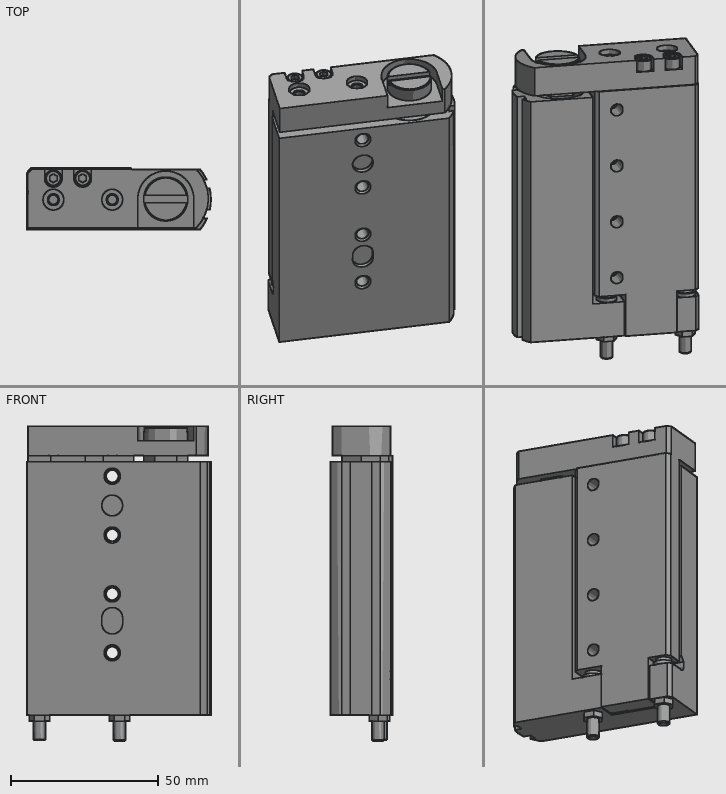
import cadquery as cq


housing_width = 62.5
housing_depth = 20.4
housing_height = 86.0
flat_end_x = 58.7
axis_y = 10.4
edge_chamfer = 1.3

bay_floor_y = 12.4
bay_right_x = 37.2
block_top_z = 12.2

table_left_x = 0.3
table_right_x = 36.3
table_front_y = 13.0
table_back_y = 21.0
table_bottom_z = 14.8
tongue_left_x = 8.1
tongue_right_x = 25.8
tongue_clearance = 0.3

plate_bottom_z = 88.0
plate_top_z = 98.0
plate_front_y = 0.6
plate_right_x = 61.5
plate_flat_end_x = 57.5
screw_sink = 0.3
left_bolt_x = 9.0

hole_x = 28.9
hole_pitch = 20.0
lowest_hole_z = 21.1
hole_zs = [lowest_hole_z + i * hole_pitch for i in range(4)]
hole_diameter = 4.2
countersink_diameter = 5.5

float_x = 47.1
float_diameter = 15.0

stoppers = [(4.3, 17.1, 8.5), (31.4, 16.1, 8.8)]


def box(x0, x1, y0, y1, z0, z1):
    """A box given by its limits along each axis."""
    return cq.Workplane("XY").box(x1 - x0, y1 - y0, z1 - z0, centered=False).translate((x0, y0, z0))


def cylinder(x, y, z0, z1, diameter):
    """An upright cylinder."""
    return cq.Workplane("XY", origin=(x, y, z0)).circle(diameter / 2).extrude(z1 - z0)


def chamfer_cone(mouth, inward, mouth_diameter, bore_diameter):
    """A cutter for a 45-degree chamfer from a hole's mouth, a point, inward along a direction."""
    depth = (mouth_diameter - bore_diameter) / 2
    cone = cq.Solid.makeCone(
        mouth_diameter / 2,
        bore_diameter / 2,
        depth,
        pnt=cq.Vector(*mouth),
        dir=cq.Vector(*inward),
    )
    return cq.Workplane(cone)


def hex_prism(x, y, z0, z1, corner_diameter, turn=0):
    """An upright hexagonal prism with corners on the X direction, turned about its axis by degrees."""
    prism = cq.Workplane("XY").polygon(6, corner_diameter).extrude(z1 - z0)
    return prism.rotate((0, 0, 0), (0, 0, 1), turn).translate((x, y, z0))


def curved_slab(left_x, right_x, arc_end_x, front_y, back_y, z0, z1):
    """A slab whose right side bulges as an arc and whose left back edge is chamfered."""
    return (
        cq.Workplane("XY", origin=(0, 0, z0))
        .moveTo(left_x, front_y)
        .lineTo(arc_end_x, front_y)
        .threePointArc((right_x, (front_y + back_y) / 2), (arc_end_x, back_y))
        .lineTo(left_x + edge_chamfer, back_y)
        .lineTo(left_x, back_y - edge_chamfer)
        .close()
        .extrude(z1 - z0)
    )


def cut_mounting_holes(body):
    """The holes that run through both bodies, countersunk at the housing's front face."""
    for z in hole_zs:
        bore = (
            cq.Workplane("XZ", origin=(hole_x, 0, z))
            .circle(hole_diameter / 2)
            .extrude(-table_back_y)
        )
        countersink = chamfer_cone((hole_x, 0, z), (0, 1, 0), countersink_diameter, hole_diameter)
        body = body.cut(bore).cut(countersink)
    return body



def cut_sensor_grooves(body):
    """Two grooves along the curved side, one on either side of the sensor rail."""
    rail_half_width = 3.6
    groove_width = 2.9
    groove_floor_x = 59.6
    for y0 in (axis_y + rail_half_width, axis_y - rail_half_width - groove_width):
        body = body.cut(box(groove_floor_x, housing_width, y0, y0 + groove_width, 0, housing_height))
    return body


def cut_bay(body):
    """The bay for the table, its channel through the block, and the relief in its lower corner."""
    relief_floor_y = axis_y
    relief_top_z = 15.6
    relief_radius = 1.6
    lead_in = 1.5
    bay = box(0, bay_right_x, bay_floor_y, housing_depth, block_top_z, housing_height)
    channel = box(
        tongue_left_x - tongue_clearance,
        tongue_right_x + tongue_clearance,
        bay_floor_y,
        housing_depth,
        0,
        block_top_z,
    )
    relief = (
        box(0, bay_right_x, relief_floor_y, bay_floor_y + relief_radius, block_top_z, relief_top_z)
        .edges("|X and <Y and <Z")
        .fillet(relief_radius)
    )
    corner_chamfer = (
        cq.Workplane("YZ")
        .moveTo(relief_floor_y, relief_top_z)
        .lineTo(bay_floor_y, relief_top_z)
        .lineTo(bay_floor_y, relief_top_z + lead_in)
        .lineTo(relief_floor_y + lead_in, relief_top_z + lead_in)
        .close()
        .extrude(tongue_left_x)
    )
    return body.cut(bay).cut(channel).cut(relief).cut(corner_chamfer)


def add_guide_pads(body):
    """Low pads on the bay floor: a guide strip, and a pad around half of the top mounting hole."""
    pad_height = 0.5
    pad_back_y = bay_floor_y + pad_height
    strip_top_z = 72.1
    pad_bore_diameter = 8.0
    strip_left_x = 9.6
    strip_right_x = 24.6
    strip_bottom_z = 17.1
    strip = box(strip_left_x, strip_right_x, bay_floor_y, pad_back_y, strip_bottom_z, strip_top_z)
    pad = box(hole_x, bay_right_x, bay_floor_y, pad_back_y, strip_top_z, housing_height)
    bore = (
        cq.Workplane("XZ", origin=(hole_x, bay_floor_y, hole_zs[-1]))
        .circle(pad_bore_diameter / 2)
        .extrude(-pad_height)
    )
    return body.union(strip).union(pad.cut(bore))


def cut_locating_recesses(body):
    """A round and an oblong locating recess in the front face."""
    recess_diameter = 7.0
    recess_depth = 1.6
    oblong_length = 9.0
    circle_z = 71.1
    oblong_z = 32.0
    front = cq.Workplane("XZ")
    circle = front.center(hole_x, circle_z).circle(recess_diameter / 2).extrude(-recess_depth)
    oblong = front.center(hole_x, oblong_z).slot2D(oblong_length, recess_diameter, 90).extrude(-recess_depth)
    return body.cut(circle).cut(oblong)


def cut_piston_bore(body):
    """The mouth of the piston bore in the top face, under the floating screw."""
    bore_diameter = 16.0
    mouth_diameter = 18.2
    bore_depth = 6.4
    bore = cylinder(float_x, axis_y, housing_height - bore_depth, housing_height, bore_diameter)
    mouth = chamfer_cone((float_x, axis_y, housing_height), (0, 0, -1), mouth_diameter, bore_diameter)
    return body.cut(bore).cut(mouth)


def add_stopper(body, x, y, thread_length):
    """A stopper: head and bumper above the block, lock nut and chamfered thread below."""
    head_top_z = 13.5
    head_diameter = 7.0
    bumper_diameter = 5.5
    thread_diameter = 4.2
    thread_chamfer = 0.4
    nut_height = 2.0
    nut_corners = 7.0
    head = cylinder(x, y, block_top_z, head_top_z, head_diameter)
    bumper = cylinder(x, y, head_top_z, table_bottom_z, bumper_diameter)
    nut = hex_prism(x, y, -nut_height, 0, nut_corners)
    thread = cylinder(x, y, -thread_length, 0, thread_diameter).faces("<Z").chamfer(thread_chamfer)
    return body.union(head).union(bumper).union(nut).union(thread)


def make_housing():
    body = curved_slab(0, housing_width, flat_end_x, 0, housing_depth, 0, housing_height)
    body = cut_sensor_grooves(body)
    body = cut_bay(body)
    body = add_guide_pads(body)
    body = cut_locating_recesses(body)
    body = cut_piston_bore(body)
    body = cut_mounting_holes(body)
    for x, y, thread_length in stoppers:
        body = add_stopper(body, x, y, thread_length)
    return body



def make_table_plate():
    """The long plate with chamfered back edges, a stepped front channel and a tongue at its foot."""
    channel_step_x = 19.8
    shallow_depth = 0.4
    deep_depth = 0.9
    plate = (
        box(table_left_x, table_right_x, table_front_y, table_back_y, table_bottom_z, plate_bottom_z)
        .edges("|Z and >Y")
        .chamfer(edge_chamfer)
    )
    tongue = box(tongue_left_x, tongue_right_x, table_front_y, table_back_y, 0, table_bottom_z)
    plate = plate.union(tongue)
    for x0, x1, depth in (
        (tongue_left_x, channel_step_x, shallow_depth),
        (channel_step_x, tongue_right_x, deep_depth),
    ):
        plate = plate.cut(box(x0, x1, table_front_y, table_front_y + depth, 0, plate_bottom_z))
    return plate


def cut_plate_bolt_holes(plate):
    """Two counterbored holes through the end plate, each with a chamfered mouth."""
    bolt_y = 10.1
    counterbore_diameter = 7.0
    counterbore_depth = 1.8
    mouth_diameter = 4.0
    bore_diameter = 3.2
    counterbore_floor_z = plate_top_z - counterbore_depth
    for x in (left_bolt_x, hole_x):
        counterbore = cylinder(x, bolt_y, counterbore_floor_z, plate_top_z, counterbore_diameter)
        bore = cylinder(x, bolt_y, plate_bottom_z, counterbore_floor_z, bore_diameter)
        mouth_center = (x, bolt_y, counterbore_floor_z)
        mouth = chamfer_cone(mouth_center, (0, 0, -1), mouth_diameter, bore_diameter)
        plate = plate.cut(counterbore).cut(bore).cut(mouth)
    return plate


def add_notch_screws(plate):
    """Two socket screws, each in a notch that opens at the back of the end plate."""
    right_notch_x = 18.9
    screw_y = 17.4
    notch_depth = 4.3
    notch_diameter = 6.0
    head_diameter = 5.5
    head_chamfer = 0.3
    head_top_z = plate_top_z - screw_sink
    socket_corners = 2.9
    socket_depth = 1.6
    floor_z = plate_top_z - notch_depth
    for x in (left_bolt_x, right_notch_x):
        half = notch_diameter / 2
        notch = cylinder(x, screw_y, floor_z, plate_top_z, notch_diameter).union(
            box(x - half, x + half, screw_y, housing_depth, floor_z, plate_top_z)
        )
        head = cylinder(x, screw_y, floor_z, head_top_z, head_diameter).faces(">Z").chamfer(head_chamfer)
        socket = hex_prism(x, screw_y, head_top_z - socket_depth, head_top_z, socket_corners, turn=30)
        plate = plate.cut(notch).union(head.cut(socket))
    return plate


def add_floating_screw(plate):
    """A slotted screw in a pocket that opens at the front, with its hexagon below the end plate."""
    pocket_radius = 9.5
    pocket_floor_z = 93.0
    head_top_z = plate_top_z - screw_sink
    head_chamfer = 0.3
    slot_width = 2.7
    slot_depth = 1.6
    pocket = cylinder(float_x, axis_y, pocket_floor_z, plate_top_z, 2 * pocket_radius)
    pocket_mouth = box(
        float_x - pocket_radius,
        float_x + pocket_radius,
        plate_front_y,
        axis_y,
        pocket_floor_z,
        plate_top_z,
    )
    head = cylinder(float_x, axis_y, pocket_floor_z, head_top_z, float_diameter)
    head = head.faces(">Z").chamfer(head_chamfer)
    slot = box(
        float_x - float_diameter / 2,
        float_x + float_diameter / 2,
        axis_y - slot_width / 2,
        axis_y + slot_width / 2,
        head_top_z - slot_depth,
        head_top_z,
    )
    hexagon = hex_prism(float_x, axis_y, housing_height, plate_bottom_z, float_diameter)
    return plate.cut(pocket).cut(pocket_mouth).union(head.cut(slot)).union(hexagon)


def make_table():
    end_plate = curved_slab(
        table_left_x,
        plate_right_x,
        plate_flat_end_x,
        plate_front_y,
        housing_depth,
        plate_bottom_z,
        plate_top_z,
    )
    end_plate = cut_plate_bolt_holes(end_plate)
    end_plate = add_notch_screws(end_plate)
    end_plate = add_floating_screw(end_plate)
    return cut_mounting_holes(end_plate.union(make_table_plate()))


housing = make_housing()
table = make_table()

result = cq.Compound.makeCompound([housing.solids().val(), table.solids().val()])